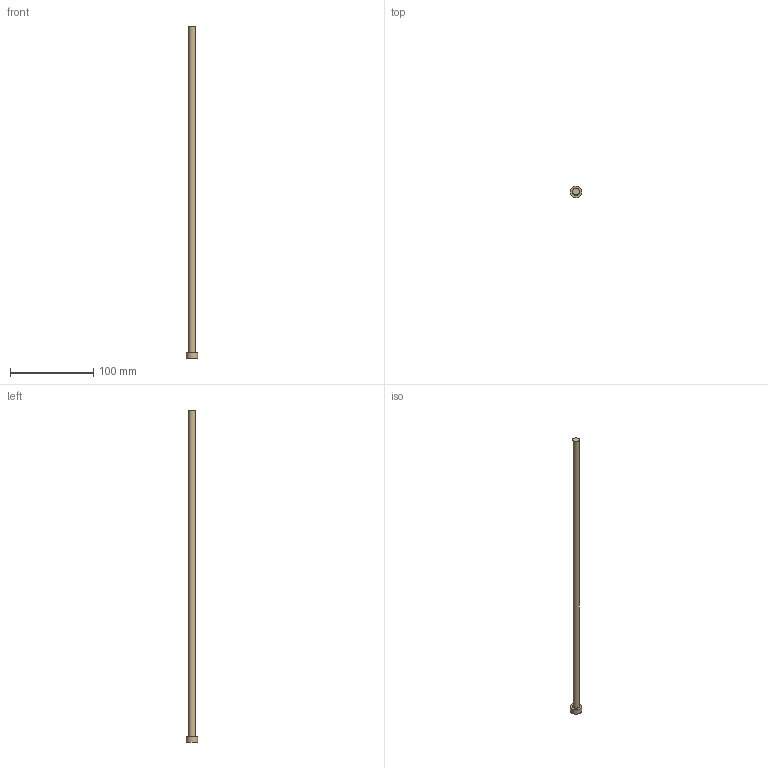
import cadquery as cq

total_length = 400.0
head_diameter = 14.0
head_height = 6.5
shaft_diameter = 8.0

shaft_length = total_length - head_height

head = cq.Workplane("XY").circle(head_diameter / 2).extrude(head_height)
shaft = (
    cq.Workplane("XY")
    .workplane(offset=head_height)
    .circle(shaft_diameter / 2)
    .extrude(shaft_length)
)

result = head.union(shaft)